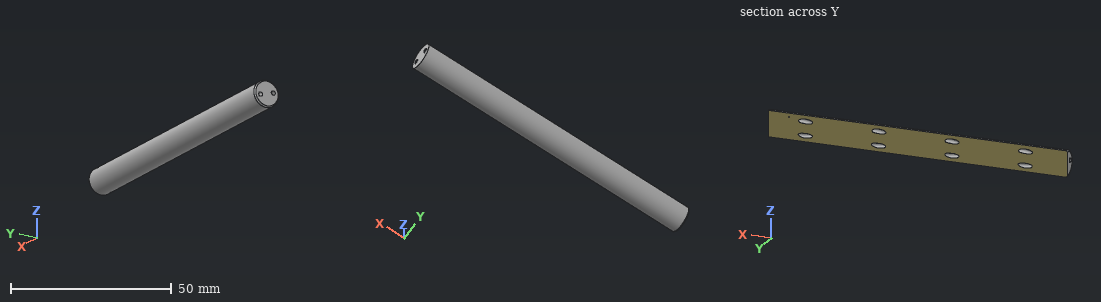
import cadquery as cq
import math

rod_length = 100.0
rod_diameter = 9.0
chamfer_size = 0.45

hole_diameter = 1.4
hole_circle_diameter = 4.8
hole_start_angle = -14.0
helix_angle = 30.0

helix_pitch = math.pi * rod_diameter / math.tan(math.radians(helix_angle))
total_twist = 360.0 * rod_length / helix_pitch


def make_rod():
    rod = cq.Workplane("YZ").circle(rod_diameter / 2).extrude(rod_length)
    return rod.faces("<X").chamfer(chamfer_size)


def make_hole_outline(start_angle):
    angle = math.radians(start_angle)
    center_y = hole_circle_diameter / 2 * math.cos(angle)
    center_z = hole_circle_diameter / 2 * math.sin(angle)
    return (
        cq.Workplane("YZ")
        .center(center_y, center_z)
        .circle(hole_diameter / 2)
        .wires()
        .val()
    )


def twist_through_rod(outline):
    return cq.Solid.extrudeLinearWithRotation(
        outline,
        [],
        cq.Vector(0, 0, 0),
        cq.Vector(rod_length, 0, 0),
        total_twist,
    )


result = make_rod()
for start_angle in (hole_start_angle, hole_start_angle + 180.0):
    hole_outline = make_hole_outline(start_angle)
    result = result.cut(cq.Workplane(twist_through_rod(hole_outline)))